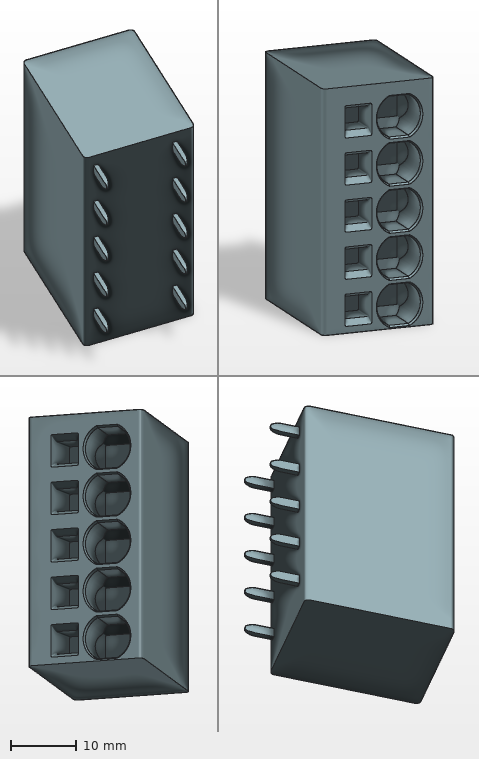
import cadquery as cq
import math

overall_length = 28.75
body_length = 24.15
body_width = 18.5
body_height = 39.3
corner_radius = 0.75

pole_count = 5
pole_pitch = 7.5
top_pole_z = body_height - 5.6

entry_y = -3.5
entry_diameter = 7.25
entry_flat_height = 6.5
entry_chamfer_width = 0.25
entry_chamfer_depth = 0.45
entry_straight_depth = 5.5
entry_taper_depth = 1.95
entry_floor_width = 5.15
entry_floor_height = 4.15
entry_corner_radius = 0.25
entry_depth = entry_straight_depth + entry_taper_depth

release_y_min = 1.1
release_y_max = 5.55
release_mouth_height = 5.15
release_flare_height = 3.9
release_flare_depth = 1.15
release_height = 3.58
release_straight_start = 1.57
release_depth = 5.5
release_side_shift = 1.3
release_edge_radius = 0.28

pin_length = overall_length - body_length
pin_height = 1.65
pin_thickness = 0.8
pin_row_ys = (-7.35, 5.85)
top_pin_z = body_height - 2.8
pin_shoulder = 3.0
pin_nose_start = 4.13
pin_nose_height = 1.18
pin_thinning_start = 3.55
pin_tip_thickness = 0.3
pin_side_bulge = 0.05


def make_body():
    block = cq.Workplane("XY").box(body_length, body_width, body_height, centered=(False, True, False))
    return block.edges("|Z").fillet(corner_radius)


def flattened_circle(plane, diameter, flat_height):
    """Add to plane a circle cut off by level lines at top and bottom."""
    radius = diameter / 2
    half_height = flat_height / 2
    half_flat = math.sqrt(radius**2 - half_height**2)
    return (
        plane.moveTo(-half_flat, -half_height)
        .lineTo(half_flat, -half_height)
        .threePointArc((radius, 0), (half_flat, half_height))
        .lineTo(-half_flat, half_height)
        .threePointArc((-radius, 0), (-half_flat, -half_height))
        .close()
    )


def make_wire_entry():
    """Wire entry centred on the X axis, opening at X = 0."""
    bore = flattened_circle(cq.Workplane("YZ"), entry_diameter, entry_flat_height).extrude(entry_depth)
    straight = cq.Workplane("YZ").rect(entry_diameter, entry_flat_height).extrude(entry_straight_depth)
    taper = (
        cq.Workplane("YZ", origin=(entry_straight_depth, 0, 0))
        .rect(entry_diameter, entry_flat_height)
        .workplane(offset=entry_taper_depth)
        .rect(entry_floor_width, entry_floor_height)
        .loft(ruled=True)
        .edges("(not |Y) and (not |Z)")
        .fillet(entry_corner_radius)
    )
    mouth = flattened_circle(
        cq.Workplane("YZ"),
        entry_diameter + 2 * entry_chamfer_width,
        entry_flat_height + 2 * entry_chamfer_width,
    )
    mouth = flattened_circle(
        mouth.workplane(offset=entry_chamfer_depth), entry_diameter, entry_flat_height
    ).loft(ruled=True)
    return bore.intersect(straight.union(taper)).union(mouth)


def make_release_opening():
    """Release opening centred on Z = 0, opening at X = 0."""
    half_mouth = release_mouth_height / 2
    half_flare = release_flare_height / 2
    half_height = release_height / 2
    upright_section = (
        cq.Workplane("XZ")
        .moveTo(0, half_mouth)
        .lineTo(release_flare_depth, half_flare)
        .lineTo(release_straight_start, half_height)
        .lineTo(release_depth, half_height)
        .lineTo(release_depth, -half_height)
        .lineTo(release_straight_start, -half_height)
        .lineTo(release_flare_depth, -half_flare)
        .lineTo(0, -half_mouth)
        .close()
        .extrude(body_width / 2, both=True)
    )
    level_section = (
        cq.Workplane("XY")
        .moveTo(0, release_y_min)
        .lineTo(release_depth, release_y_min)
        .lineTo(release_depth, release_y_max - release_side_shift)
        .lineTo(0, release_y_max)
        .close()
        .extrude(half_mouth, both=True)
    )
    opening = upright_section.intersect(level_section)
    return opening.edges("(not |Y) and (not |Z)").fillet(release_edge_radius)


def make_pin():
    """Pin centred on the X axis, starting at X = 0."""
    half_height = pin_height / 2
    half_nose = pin_nose_height / 2
    mid_x = (pin_shoulder + pin_nose_start) / 2
    mid_z = (half_height + half_nose) / 2 + pin_side_bulge
    blade = (
        cq.Workplane("XZ")
        .moveTo(0, -half_height)
        .lineTo(pin_shoulder, -half_height)
        .threePointArc((mid_x, -mid_z), (pin_nose_start, -half_nose))
        .threePointArc((pin_length, 0), (pin_nose_start, half_nose))
        .threePointArc((mid_x, mid_z), (pin_shoulder, half_height))
        .lineTo(0, half_height)
        .close()
        .extrude(pin_thickness / 2, both=True)
    )
    half_thickness = pin_thickness / 2
    half_tip = pin_tip_thickness / 2
    level_section = (
        cq.Workplane("XY")
        .moveTo(0, -half_thickness)
        .lineTo(pin_thinning_start, -half_thickness)
        .lineTo(pin_length, -half_tip)
        .lineTo(pin_length, half_tip)
        .lineTo(pin_thinning_start, half_thickness)
        .lineTo(0, half_thickness)
        .close()
        .extrude(half_height, both=True)
    )
    return blade.intersect(level_section)


result = make_body()
wire_entry = make_wire_entry()
release_opening = make_release_opening()
pin = make_pin()

for pole in range(pole_count):
    drop = pole * pole_pitch
    result = result.cut(wire_entry.translate((0, entry_y, top_pole_z - drop)))
    result = result.cut(release_opening.translate((0, 0, top_pole_z - drop)))
    for row_y in pin_row_ys:
        result = result.union(pin.translate((body_length, row_y, top_pin_z - drop)))